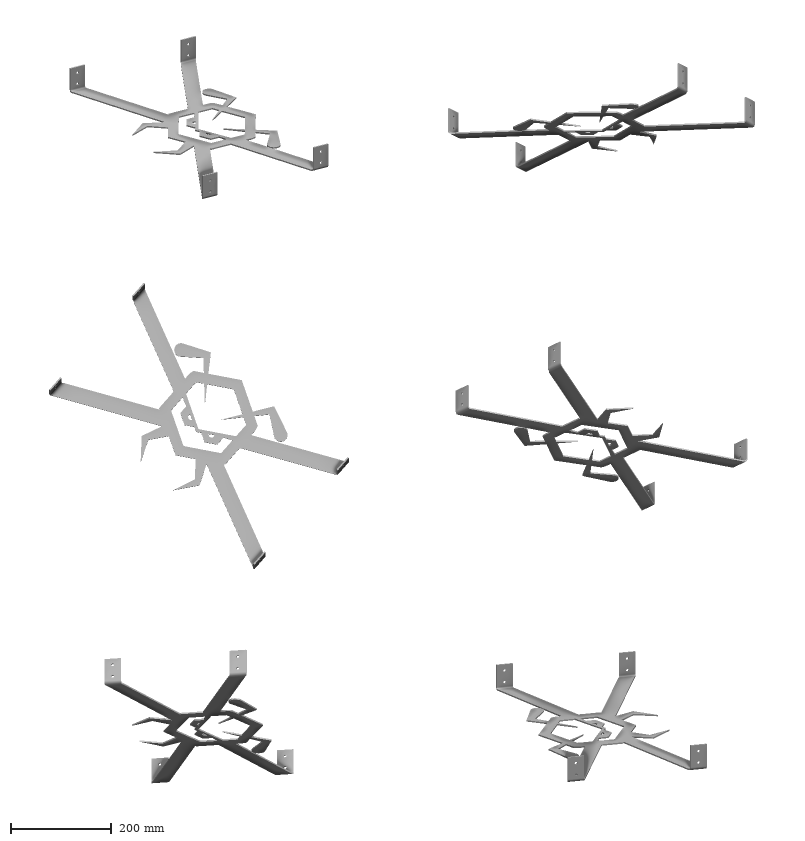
import cadquery as cq
import math

length = 540.0
width = 286.0
height = 54.0
thickness = 3.0
bend_inner_radius = 4.0
bend_outer_radius = bend_inner_radius + thickness

flange_width = 33.5
arm_width = 34.0
arm_root_x = 48.5
bend_drift = 2.5
hole_diameter = 5.5
hole_heights = (15.5, 40.5)
half_length = length / 2
flange_inner_x = half_length - thickness
bend_x = half_length - bend_outer_radius
flange_center_y = (width - flange_width) / 2

hexagon_angle = math.radians(30)
hexagon_slope = math.tan(hexagon_angle)
ring_center_y = 29.0
ring_outer_apothem = 87.0
ring_inner_apothem = 66.0
ring_trim_width = 2.0
ring_trim_drop = 7.5

antenna_top = (83.0, 131.5)
antenna_elbow = (87.0, 113.5)
antenna_tip = (22.0, 43.0)
club_center = (131.0, 96.5)
club_radius = 13.5

mandible_points = [
    (34.5, -49.5),
    (61.0, -83.0),
    (42.5, -128.0),
    (76.0, -86.0),
    (56.0, -39.5),
    (43.0, -38.0),
]

brow_top_y = -1.5
brow_bottom_y = -8.5
brow_root_y = 26.0
brow_root_x = ring_inner_apothem + 5.5
eye_x = 26.5
eye_bottom_y = -13.5
eye_half_width = 22.0
eye_outer_x = eye_x + eye_half_width
eye_outer_top_y = 18.5
eye_outer_bottom_y = eye_bottom_y + eye_half_width * hexagon_slope

pupil_x = 27.0
pupil_bottom_y = 0.5
pupil_half_width = 6.0
pupil_outer_height = 7.0


def plate(points):
    """Flat piece of sheet with the given outline."""
    return cq.Workplane("XY").polyline(points).close().extrude(thickness)


def hexagon(apothem):
    """Flat regular hexagon centred on the ring, with a corner toward +Y."""
    corner_radius = apothem / math.cos(hexagon_angle)
    corners = []
    for step in range(6):
        angle = hexagon_angle * (1 + 2 * step)
        x = corner_radius * math.cos(angle)
        y = ring_center_y + corner_radius * math.sin(angle)
        corners.append((x, y))
    return plate(corners)


def make_ring():
    """Hexagonal ring whose two upper side corners are trimmed by a slanted cut."""
    corner_y = ring_center_y + ring_outer_apothem * hexagon_slope
    trim_x = ring_outer_apothem - ring_trim_width
    trim = plate([
        (ring_outer_apothem, corner_y - ring_trim_drop),
        (ring_outer_apothem, corner_y),
        (trim_x, corner_y + ring_trim_width * hexagon_slope),
    ])
    ring = hexagon(ring_outer_apothem).cut(hexagon(ring_inner_apothem))
    return ring.cut(trim).cut(trim.mirror("YZ"))


def club_tangent_point(point, side):
    """Point where a line from the given point touches the club's round end."""
    dx = point[0] - club_center[0]
    dy = point[1] - club_center[1]
    turn = side * math.acos(club_radius / math.hypot(dx, dy))
    angle = math.atan2(dy, dx) + turn
    x = club_center[0] + club_radius * math.cos(angle)
    y = club_center[1] + club_radius * math.sin(angle)
    return (x, y)


def make_arm():
    """Bent arm toward +X +Y; its centre line points at the origin."""
    profile = (
        cq.Workplane("XZ")
        .moveTo(arm_root_x, 0)
        .lineTo(bend_x, 0)
        .radiusArc((half_length, bend_outer_radius), -bend_outer_radius)
        .lineTo(half_length, height)
        .lineTo(flange_inner_x, height)
        .lineTo(flange_inner_x, bend_outer_radius)
        .radiusArc((bend_x, thickness), bend_inner_radius)
        .lineTo(arm_root_x, thickness)
        .close()
        .extrude(-width)
    )
    flange_inner_y = flange_center_y - flange_width / 2
    flange_outer_y = flange_center_y + flange_width / 2
    bend_y = flange_center_y - bend_drift
    root_y = arm_root_x * bend_y / bend_x
    plan = (
        cq.Workplane("XY")
        .polyline([
            (arm_root_x, root_y - arm_width / 2),
            (bend_x, bend_y - arm_width / 2),
            (flange_inner_x, flange_inner_y),
            (half_length, flange_inner_y),
            (half_length, flange_outer_y),
            (flange_inner_x, flange_outer_y),
            (bend_x, bend_y + arm_width / 2),
            (arm_root_x, root_y + arm_width / 2),
        ])
        .close()
        .extrude(height)
    )
    holes = (
        cq.Workplane("YZ")
        .pushPoints([(flange_center_y, z) for z in hole_heights])
        .circle(hole_diameter / 2)
        .extrude(length)
    )
    return profile.intersect(plan).cut(holes)


def make_antenna():
    """Antenna on the +X side; its spike crosses the ring."""
    spike = plate([antenna_top, antenna_elbow, antenna_tip])
    club_axis_x = (antenna_top[0] + antenna_elbow[0]) / 2 - club_center[0]
    club_axis_y = (antenna_top[1] + antenna_elbow[1]) / 2 - club_center[1]
    club_axis_length = math.hypot(club_axis_x, club_axis_y)
    club_end = (
        club_center[0] - club_radius * club_axis_x / club_axis_length,
        club_center[1] - club_radius * club_axis_y / club_axis_length,
    )
    club = (
        cq.Workplane("XY")
        .moveTo(*antenna_elbow)
        .lineTo(*antenna_top)
        .lineTo(*club_tangent_point(antenna_top, -1))
        .threePointArc(club_end, club_tangent_point(antenna_elbow, 1))
        .close()
        .extrude(thickness)
    )
    return spike.union(club)


def make_brow_and_eye():
    """+X half of the V-shaped brow, with one eye hanging from it."""
    notch_x = (eye_x + (eye_bottom_y - brow_bottom_y) / hexagon_slope) / 2
    notch_y = brow_bottom_y + hexagon_slope * notch_x
    face = plate([
        (0, brow_top_y),
        (0, brow_bottom_y),
        (notch_x, notch_y),
        (eye_x, eye_bottom_y),
        (eye_outer_x, eye_outer_bottom_y),
        (eye_outer_x, eye_outer_top_y),
        (ring_inner_apothem, brow_root_y),
        (brow_root_x, brow_root_y),
        (brow_root_x, brow_top_y + hexagon_slope * brow_root_x),
    ])
    pupil_side_y = pupil_bottom_y + pupil_half_width * hexagon_slope
    pupil = plate([
        (pupil_x, pupil_bottom_y),
        (pupil_x + pupil_half_width, pupil_side_y),
        (pupil_x + pupil_half_width, pupil_side_y + pupil_outer_height),
        (pupil_x - pupil_half_width, pupil_side_y),
    ])
    return face.cut(pupil)


arm = make_arm()
arms = arm.union(arm.mirror("XZ"))
half_frame = arms.union(plate(mandible_points)).cut(hexagon(ring_inner_apothem))
half_part = half_frame.union(make_antenna()).union(make_brow_and_eye())
result = make_ring().union(half_part).union(half_part.mirror("YZ")).clean()